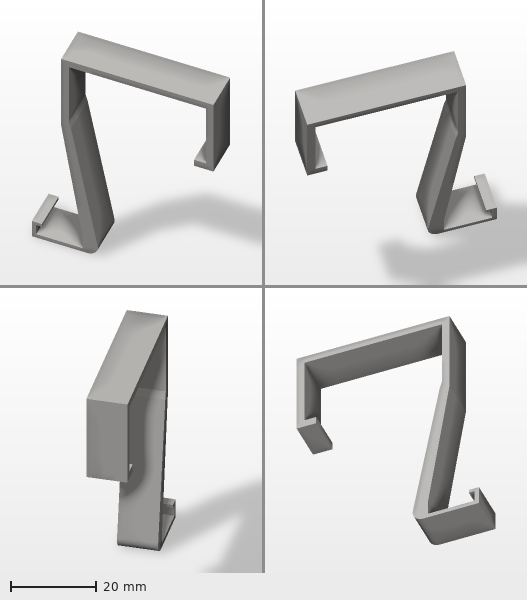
import cadquery as cq

total_width = 46.5
total_height = 61.55
strip_depth = 10.0

channel_width = 38.95
channel_height = 22.05
channel_wall = 2.0
channel_lip = 5.0

hook_height = 5.0
hook_wall = 1.1
hook_floor = 1.1
hook_lip = 2.6
hook_lip_thickness = 0.85
hook_inner_end = 13.0

leg_step = 0.55
leg_heel = 17.5
heel_radius = 2.8

channel_left = total_width - channel_width
channel_inner_left = channel_left + channel_wall
channel_inner_right = total_width - channel_wall
channel_inner_top = total_height - channel_wall
channel_bottom = total_height - channel_height
lip_top = channel_bottom + channel_wall

profile = [
    (leg_heel, 0),
    (channel_inner_left + leg_step, channel_bottom),
    (channel_inner_left, lip_top),
    (channel_inner_left, channel_inner_top),
    (channel_inner_right, channel_inner_top),
    (channel_inner_right, lip_top),
    (total_width - channel_lip, lip_top),
    (total_width - channel_lip, channel_bottom),
    (total_width, channel_bottom),
    (total_width, total_height),
    (channel_left, total_height),
    (channel_left, channel_bottom),
    (hook_inner_end, hook_height),
    (hook_inner_end, hook_floor),
    (hook_wall, hook_floor),
    (hook_wall, hook_height - hook_lip_thickness),
    (hook_lip, hook_height - hook_lip_thickness),
    (hook_lip, hook_height),
    (0, hook_height),
    (0, 0),
]

clip = cq.Workplane("XZ").polyline(profile).close().extrude(-strip_depth)

heel_edge = cq.selectors.NearestToPointSelector((leg_heel, strip_depth / 2, 0))
result = clip.edges(heel_edge).fillet(heel_radius)